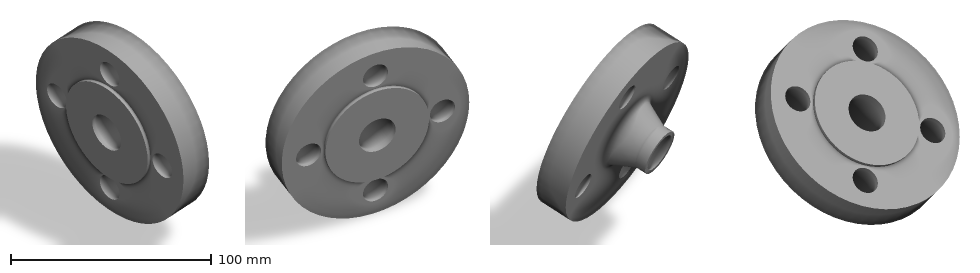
import cadquery as cq

flange_diameter = 105.0
flange_thickness = 18.0
raised_face_diameter = 58.0
raised_face_height = 2.0
total_length = 40.0
neck_diameter = 25.0
neck_length = 6.0
hub_base_diameter = 38.0
hub_fillet_radius = 4.0
bore_diameter = 20.5
bolt_circle_diameter = 75.0
bolt_hole_diameter = 14.0
bolt_hole_count = 4

flange_back = raised_face_height + flange_thickness
neck_start = total_length - neck_length


def flange_body():
    """Revolve the half profile (radius, Y) and round the hub root."""
    body = (
        cq.Workplane("XY")
        .lineTo(raised_face_diameter / 2, 0)
        .lineTo(raised_face_diameter / 2, raised_face_height)
        .lineTo(flange_diameter / 2, raised_face_height)
        .lineTo(flange_diameter / 2, flange_back)
        .lineTo(hub_base_diameter / 2, flange_back)
        .lineTo(neck_diameter / 2, neck_start)
        .lineTo(neck_diameter / 2, total_length)
        .lineTo(0, total_length)
        .close()
        .revolve(360, (0, 0, 0), (0, 1, 0))
    )
    hub_root = cq.selectors.RadiusNthSelector(1)
    return body.edges("%CIRCLE").edges(hub_root).fillet(hub_fillet_radius)


def through_holes():
    """Central bore and the ring of bolt holes, running along +Y."""
    face = cq.Workplane("XZ")
    bore = face.circle(bore_diameter / 2).extrude(-total_length)
    bolts = (
        face.polarArray(bolt_circle_diameter / 2, 0, 360, bolt_hole_count)
        .circle(bolt_hole_diameter / 2)
        .extrude(-flange_back)
    )
    return bore.union(bolts)


result = flange_body().cut(through_holes())